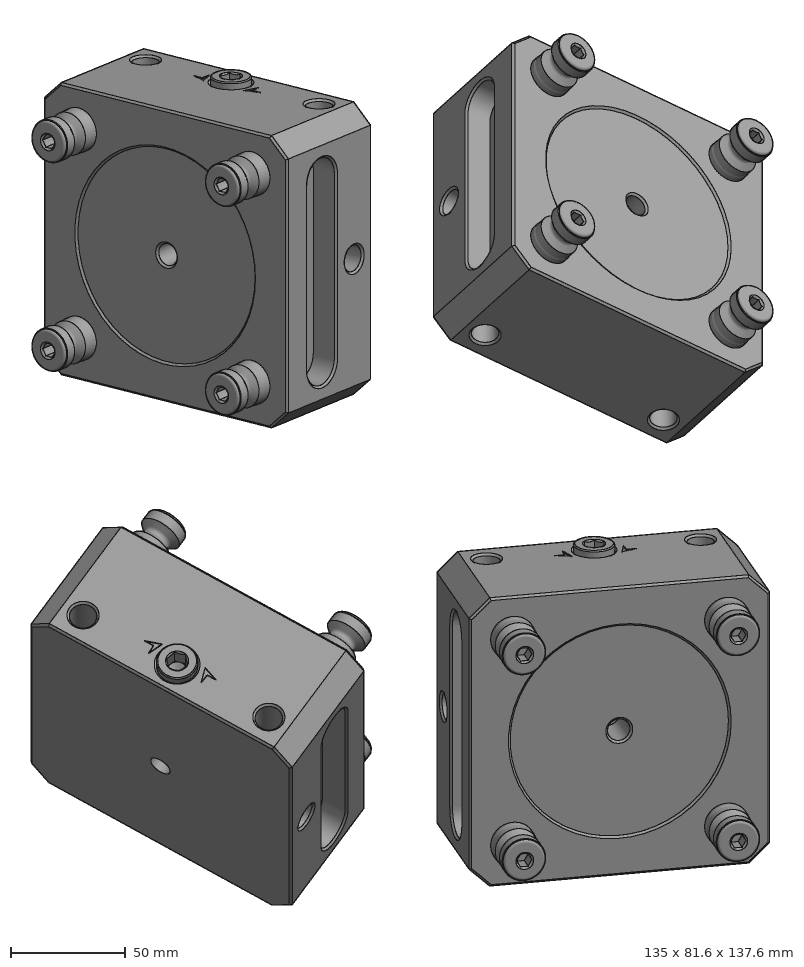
import cadquery as cq
import math


block_width = 135.0
block_depth = 60.0
block_height = 134.6
corner_x = 9.4
corner_z = 8.8
edge_chamfer = 1.0

corner_pitch = 96.0

half_width = block_width / 2
half_height = block_height / 2

cross_hole_diameter = 12.0
cross_hole_y = block_depth - 12.5

pocket_width = 19.8
pocket_length = 104.6
pocket_depth = 12.7
pocket_y = 24.8

plate_diameter = 98.0
plate_thickness = 20.0
center_hole_diameter = 10.0

stud_collar_radius = 20.0 / 2
stud_body_radius = 19.5 / 2
stud_neck_radius = 13.2 / 2
stud_length = 21.6
collar_length = 2.5
collar_taper_end = 3.5
groove_start = 7.4
groove_end = 15.1
neck_start = 9.6
neck_end = 13.0
neck_rim_radius = 7.4
tip_bevel = 0.35
tip_rounding = 1.2
stud_socket_flats = 5.9
stud_socket_drill = 6.0
stud_socket_mouth = 8.0
stud_socket_depth = 8.0

screw_diameter = 18.0
screw_projection = 3.0
screw_embedment = 17.5
screw_chamfer = 0.5
screw_hole_chamfer = 1.0
screw_y = block_depth - 13.5
screw_socket_flats = 8.4
screw_socket_drill = 8.5
screw_socket_turn = 15
screw_socket_mouth = 10.0
screw_socket_depth = 8.0
socket_point_angle = 118

arrow_outline = [(-18.5, -2.6), (-11.1, -5.2), (-13.6, 1.9), (-13.9, -2.6)]
arrow_depth = 0.5


def front_plane(y):
    """Plane at depth y whose normal points out of the front face."""
    return cq.Plane(origin=(0, y, 0), xDir=(1, 0, 0), normal=(0, -1, 0))


def side_plane(x, y):
    """Plane at a left or right side, with local X along +Y and local Y along +Z."""
    return cq.Plane(origin=(x, y, 0), xDir=(0, 1, 0), normal=(1, 0, 0))


def top_plane(y, z):
    """Plane at height z, centered on X = 0 and the given y."""
    return cq.Plane(origin=(0, y, z), xDir=(1, 0, 0), normal=(0, 0, 1))


def cone_frustum(plane, diameter, depth):
    """Countersink cutter narrowing at 45 degrees as it goes against the normal."""
    return cq.Workplane(plane).circle(diameter / 2 + depth).extrude(-depth, taper=45)


def through_hole(plane, diameter, length):
    """Cutter for a hole of the given length, countersunk at both ends."""
    far_plane = cq.Plane(
        origin=(plane.origin - plane.zDir * length).toTuple(), xDir=plane.xDir, normal=-plane.zDir
    )
    cutter = cq.Workplane(plane).circle(diameter / 2).extrude(-length)
    for end_plane in (plane, far_plane):
        cutter = cutter.union(cone_frustum(end_plane, diameter, edge_chamfer))
    return cutter


def hex_socket(plane, flats, drill_diameter, mouth_diameter, depth):
    """Cutter for a countersunk hexagon socket whose pilot drill just breaks into the flats."""
    corners_diameter = flats / math.cos(math.pi / 6)
    mouth_depth = (mouth_diameter - flats) / 2
    hexagon = cq.Workplane(plane).polygon(6, corners_diameter).extrude(-depth)
    drilling = cq.Workplane(plane).circle(drill_diameter / 2).extrude(-depth)
    return hexagon.union(drilling).union(cone_frustum(plane, flats, mouth_depth))


def make_block():
    block = cq.Workplane(front_plane(block_depth)).rect(block_width, block_height).extrude(block_depth)
    for x_sign in (-1, 1):
        for z_sign in (-1, 1):
            corner = (
                cq.Workplane(front_plane(block_depth))
                .moveTo(x_sign * half_width, z_sign * half_height)
                .lineTo(x_sign * (half_width - corner_x), z_sign * half_height)
                .lineTo(x_sign * half_width, z_sign * (half_height - corner_z))
                .close()
                .extrude(block_depth)
            )
            block = block.cut(corner)
    return block.faces("<Y or >Y").chamfer(edge_chamfer)


def cut_cross_holes(block):
    for x_sign in (-1, 1):
        plane = top_plane(cross_hole_y, half_height)
        hole = through_hole(plane, cross_hole_diameter, block_height)
        block = block.cut(hole.translate((x_sign * corner_pitch / 2, 0, 0)))
    side_hole = through_hole(side_plane(half_width, cross_hole_y), cross_hole_diameter, block_width)
    return block.cut(side_hole)


def cut_side_pockets(block):
    for x_sign in (-1, 1):
        pocket = (
            cq.Workplane(side_plane(x_sign * half_width, pocket_y))
            .slot2D(pocket_length, pocket_width, 90)
            .extrude(-x_sign * pocket_depth)
        )
        bevel = (
            cq.Workplane(side_plane(x_sign * half_width, pocket_y))
            .slot2D(pocket_length + 2 * edge_chamfer, pocket_width + 2 * edge_chamfer, 90)
            .extrude(-x_sign * edge_chamfer, taper=45)
        )
        block = block.cut(pocket).cut(bevel)
    return block


def cut_plate_seat(block):
    seat_depth = edge_chamfer + plate_thickness
    seat = cq.Workplane(front_plane(0)).circle(plate_diameter / 2).extrude(-seat_depth)
    hole = cq.Workplane(front_plane(0)).circle(center_hole_diameter / 2).extrude(-block_depth)
    return block.cut(seat).cut(cone_frustum(front_plane(0), plate_diameter, edge_chamfer)).cut(hole)


def cut_screw_seat(block):
    plane = top_plane(screw_y, half_height)
    seat = cq.Workplane(plane).circle(screw_diameter / 2).extrude(-screw_embedment)
    return block.cut(seat).cut(cone_frustum(plane, screw_diameter, screw_hole_chamfer))


def cut_arrows(block):
    for x_sign in (-1, 1):
        outline = [(x_sign * x, y) for x, y in arrow_outline]
        arrow = cq.Workplane(top_plane(screw_y, half_height)).polyline(outline).close().extrude(-arrow_depth)
        block = block.cut(arrow)
    return block


def make_housing():
    housing = cut_cross_holes(make_block())
    housing = cut_side_pockets(housing)
    housing = cut_plate_seat(housing)
    housing = cut_screw_seat(housing)
    return cut_arrows(housing)


def make_cover_plate():
    face = front_plane(edge_chamfer)
    plate = cq.Workplane(face).circle(plate_diameter / 2).extrude(-plate_thickness)
    hole = cq.Workplane(face).circle(center_hole_diameter / 2).extrude(-plate_thickness)
    return plate.cut(hole).cut(cone_frustum(face, center_hole_diameter, edge_chamfer))


def make_stud():
    """Stud on the Y axis, turned from one profile, with a V groove rounded at the neck."""
    neck_center = (neck_start + neck_end) / 2
    tip_rim_radius = stud_body_radius - tip_bevel
    tip_rounding_start = stud_length - tip_rounding
    profile = (
        cq.Workplane("XY")
        .lineTo(stud_collar_radius, 0)
        .lineTo(stud_collar_radius, -collar_length)
        .lineTo(stud_body_radius, -collar_taper_end)
        .lineTo(stud_body_radius, -groove_start)
        .lineTo(neck_rim_radius, -neck_start)
        .threePointArc((stud_neck_radius, -neck_center), (neck_rim_radius, -neck_end))
        .lineTo(stud_body_radius, -groove_end)
        .lineTo(stud_body_radius, -tip_rounding_start + tip_bevel)
        .lineTo(tip_rim_radius, -tip_rounding_start)
        .radiusArc((tip_rim_radius - tip_rounding, -stud_length), tip_rounding)
        .lineTo(0, -stud_length)
        .close()
    )
    stud = profile.revolve(360, (0, 0, 0), (0, 1, 0))
    socket = hex_socket(
        front_plane(-stud_length), stud_socket_flats, stud_socket_drill, stud_socket_mouth, stud_socket_depth
    )
    return stud.cut(socket)


def make_screw():
    top = top_plane(screw_y, half_height + screw_projection)
    screw = cq.Workplane(top).circle(screw_diameter / 2).extrude(-screw_projection - screw_embedment)
    screw = screw.faces(">Z").edges().chamfer(screw_chamfer)
    socket = hex_socket(
        top.rotated((0, 0, screw_socket_turn)),
        screw_socket_flats,
        screw_socket_drill,
        screw_socket_mouth,
        screw_socket_depth,
    )
    point_radius = screw_socket_drill / 2
    point_depth = point_radius / math.tan(math.radians(socket_point_angle / 2))
    floor_z = half_height + screw_projection - screw_socket_depth
    point = cq.Solid.makeCone(
        point_radius, 0, point_depth, cq.Vector(0, screw_y, floor_z), cq.Vector(0, 0, -1)
    )
    return screw.cut(socket).cut(cq.Workplane(point))


housing = make_housing()
cover_plate = make_cover_plate()
screw = make_screw()

studs = []
for x_sign in (-1, 1):
    for z_sign in (-1, 1):
        stud = make_stud().translate((x_sign * corner_pitch / 2, 0, z_sign * corner_pitch / 2))
        studs.append(stud.val())

result = cq.Compound.makeCompound([housing.val(), cover_plate.val(), screw.val(), *studs])